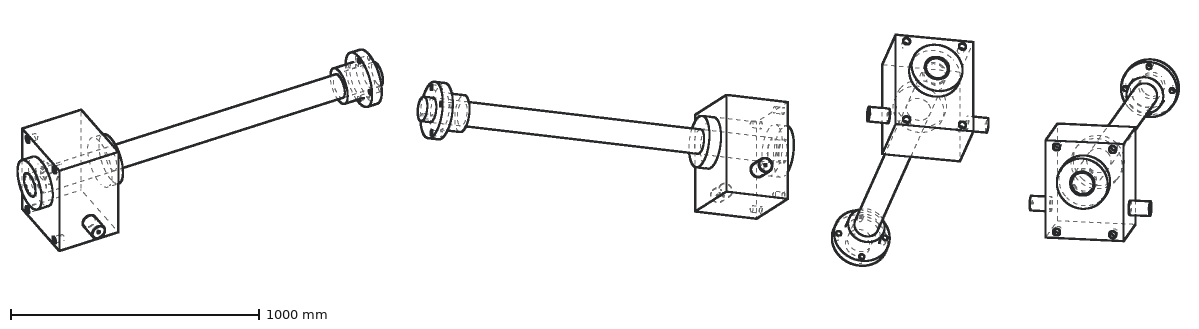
import cadquery as cq
import math

SCREW_LENGTH = 1585.0

HOUSING_WIDTH = 320.0
HOUSING_DEPTH = 270.0
HOUSING_HEIGHT = 405.0
BOSS_DIAMETER = 210.0
BOSS_LENGTH = 50.0
HOUSING_MIDDLE_Y = BOSS_LENGTH + HOUSING_DEPTH / 2
BOSSES_LENGTH = HOUSING_DEPTH + 2 * BOSS_LENGTH

MOUNT_HOLE_DIAMETER = 27.0
MOUNT_HOLE_MOUTH_DIAMETER = 30.0
MOUNT_HOLE_DEPTH = 40.0
MOUNT_SPACING_X = 230.0
MOUNT_SPACING_Z = 355.0
DRILL_POINT_ANGLE = 118.0

SCREW_DIAMETER = 100.0
SCREW_Z = 43.0
SCREW_HEAD_THICKNESS = 5.0
SCREW_NECK_DIAMETER = 89.0

NUT_COLLAR_DIAMETER = 150.0
NUT_COLLAR_LENGTH = 90.0
NUT_FLANGE_DIAMETER = 230.0
NUT_FLANGE_THICKNESS = 45.0
NUT_FILLET_RADIUS = 3.0
NUT_HOLE_DIAMETER = 20.0
NUT_HOLE_CIRCLE_DIAMETER = 190.0
NUT_HOLE_COUNT = 4
NUT_TO_SCREW_END = 40.0
NUT_END_Y = SCREW_LENGTH - NUT_TO_SCREW_END
NUT_FLANGE_Y = NUT_END_Y - NUT_FLANGE_THICKNESS
NUT_START_Y = NUT_FLANGE_Y - NUT_COLLAR_LENGTH

OVERALL_WIDTH = 490.0
STUB_DIAMETER = 60.0
STUB_NECK_DIAMETER = 55.0
STUB_NECK_LENGTH = 2.4
STUB_CHAMFER_LENGTH = 0.8
STUB_LENGTH = (OVERALL_WIDTH - HOUSING_WIDTH) / 2
STUB_Z = -98.0
CENTRE_HOLE_DIAMETER = 10.1
CENTRE_HOLE_DEPTH = 10.0


def cylinder_along_y(diameter, start_y, end_y):
    """A cylinder on the screw axis."""
    base = cq.Workplane("XZ", origin=(0, start_y, SCREW_Z))
    return base.circle(diameter / 2).extrude(start_y - end_y)


def make_screw():
    """A rod with a thin head, flush with the front boss, and a neck that fills the rest of that boss."""
    head = cylinder_along_y(SCREW_DIAMETER, 0, SCREW_HEAD_THICKNESS)
    neck = cylinder_along_y(SCREW_NECK_DIAMETER, SCREW_HEAD_THICKNESS, BOSS_LENGTH)
    rod = cylinder_along_y(SCREW_DIAMETER, BOSS_LENGTH, SCREW_LENGTH)
    return head.union(neck).union(rod)


def make_mount_hole():
    """The space of a drilled hole with a chamfered mouth and a conical bottom, opening at Y = 0."""
    radius = MOUNT_HOLE_DIAMETER / 2
    mouth_radius = MOUNT_HOLE_MOUTH_DIAMETER / 2
    point_length = radius / math.tan(math.radians(DRILL_POINT_ANGLE / 2))
    profile = [
        (0, 0),
        (mouth_radius, 0),
        (radius, mouth_radius - radius),
        (radius, MOUNT_HOLE_DEPTH),
        (0, MOUNT_HOLE_DEPTH + point_length),
    ]
    return cq.Workplane("XY").polyline(profile).close().revolve(360, (0, 0), (0, 1))


def make_housing(screw):
    """A block with a round boss front and back, a bore that fits the screw and four mounting holes."""
    block = cq.Workplane("XY").box(HOUSING_WIDTH, HOUSING_DEPTH, HOUSING_HEIGHT)
    block = block.translate((0, HOUSING_MIDDLE_Y, 0))
    housing = block.union(cylinder_along_y(BOSS_DIAMETER, 0, BOSSES_LENGTH)).cut(screw)
    mount_hole = make_mount_hole()
    for side_x in (-1, 1):
        for side_z in (-1, 1):
            place = (side_x * MOUNT_SPACING_X / 2, BOSS_LENGTH, side_z * MOUNT_SPACING_Z / 2)
            housing = housing.cut(mount_hole.translate(place))
    return housing


def make_nut():
    """A flanged nut, bored for the screw, with a fillet between its collar and its flange."""
    collar = cylinder_along_y(NUT_COLLAR_DIAMETER, NUT_START_Y, NUT_FLANGE_Y)
    flange = cylinder_along_y(NUT_FLANGE_DIAMETER, NUT_FLANGE_Y, NUT_END_Y)
    nut = collar.union(flange)
    corner = nut.faces("|Y").faces(">Y[1]").edges(cq.selectors.RadiusNthSelector(0))
    nut = corner.fillet(NUT_FILLET_RADIUS)
    flange_holes = (
        cq.Workplane("XZ", origin=(0, NUT_FLANGE_Y, SCREW_Z))
        .polarArray(NUT_HOLE_CIRCLE_DIAMETER / 2, 0, 360, NUT_HOLE_COUNT)
        .circle(NUT_HOLE_DIAMETER / 2)
        .extrude(-NUT_FLANGE_THICKNESS)
    )
    return nut.cut(flange_holes).cut(cylinder_along_y(SCREW_DIAMETER, NUT_START_Y, NUT_END_Y))


def make_shaft_stub(side):
    """A stub with a short neck against the housing and a centre hole; side is -1 for -X, 1 for +X."""
    neck_radius = STUB_NECK_DIAMETER / 2
    radius = STUB_DIAMETER / 2
    hole_radius = CENTRE_HOLE_DIAMETER / 2
    hole_bottom = STUB_LENGTH - CENTRE_HOLE_DEPTH
    profile = [
        (0, 0),
        (0, neck_radius),
        (STUB_NECK_LENGTH, neck_radius),
        (STUB_NECK_LENGTH, radius),
        (STUB_LENGTH - STUB_CHAMFER_LENGTH, radius),
        (STUB_LENGTH, neck_radius),
        (STUB_LENGTH, hole_radius),
        (hole_bottom, hole_radius),
        (hole_bottom, 0),
    ]
    side_profile = [(side * along, across) for along, across in profile]
    stub = cq.Workplane("XY").polyline(side_profile).close().revolve(360, (0, 0), (1, 0))
    return stub.translate((side * HOUSING_WIDTH / 2, HOUSING_MIDDLE_Y, STUB_Z))


screw = make_screw()
housing = make_housing(screw)
nut = make_nut()
shaft_stubs = [make_shaft_stub(side).val() for side in (-1, 1)]

result = cq.Compound.makeCompound([housing.val(), screw.val(), nut.val(), *shaft_stubs])